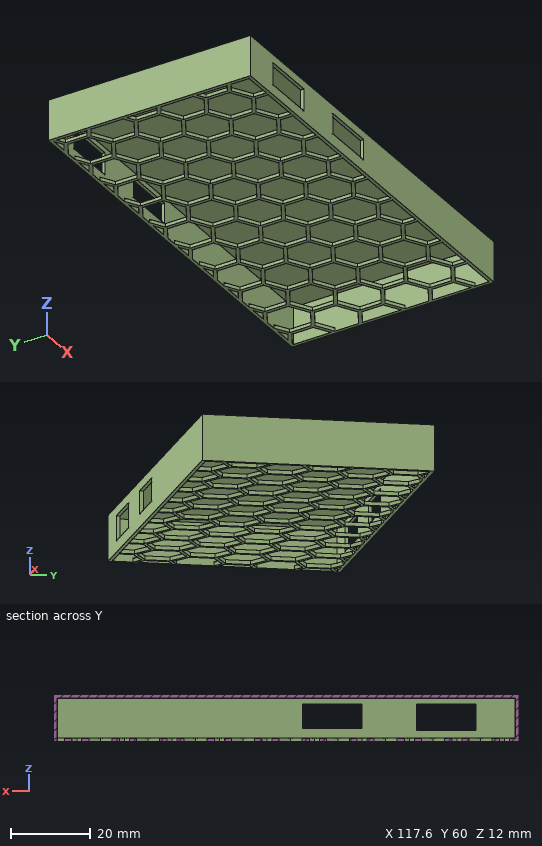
import cadquery as cq
import math

length = 117.61
width = 60.0
height = 12.0
wall = 1.0
top_thickness = 1.0
floor_thickness = 1.0

window_width = 14.9
window_top = 9.5
window_lefts_and_heights = [(10.9, 6.5), (39.7, 6.0)]

rib = 1.0
cell_pitch = 12.0
row_pitch = cell_pitch * math.sqrt(3) / 2
hexagon_radius = (cell_pitch - rib) / math.sqrt(3)
reference_cell_x = 21.7
reference_cell_y = 12.0
cells_before = 2


def corner_box(size_x, size_y, size_z, corner):
    return cq.Workplane("XY").box(size_x, size_y, size_z, centered=False).translate(corner)


def interior_box(bottom, box_height):
    """A box filling the space between the four side walls."""
    return corner_box(length - 2 * wall, width - 2 * wall, box_height, (wall, wall, bottom))


def make_shell():
    outer = corner_box(length, width, height, (0, 0, 0))
    cavity = interior_box(floor_thickness, height - floor_thickness - top_thickness)
    return outer.cut(cavity)


def make_window(left, window_height):
    corner = (left, 0, window_top - window_height)
    return corner_box(window_width, width, window_height, corner)


def hexagon_corners():
    angles = [i * math.pi / 3 for i in range(6)]
    return [(hexagon_radius * math.sin(a), hexagon_radius * math.cos(a)) for a in angles]


def cell_centres():
    """Cell centres in staggered rows that cover the whole floor."""
    columns = math.ceil(length / cell_pitch)
    rows = math.ceil(width / row_pitch)
    centres = []
    for row in range(-cells_before, rows):
        stagger = (row % 2) * cell_pitch / 2
        for column in range(-cells_before, columns):
            x = reference_cell_x + stagger + column * cell_pitch
            y = reference_cell_y + row * row_pitch
            centres.append((x, y))
    return centres


def make_grille_openings():
    """The hexagonal openings, trimmed to the floor inside the walls."""
    hexagon = cq.Workplane("XY").polyline(hexagon_corners()).close().extrude(floor_thickness).val()
    cells = [hexagon.translate(cq.Vector(x, y, 0)) for x, y in cell_centres()]
    pattern = cq.Workplane(cq.Compound.makeCompound(cells))
    return interior_box(0, floor_thickness).intersect(pattern)


body = make_shell().cut(make_grille_openings())
for window_left, window_height in window_lefts_and_heights:
    body = body.cut(make_window(window_left, window_height))
result = body.solids()